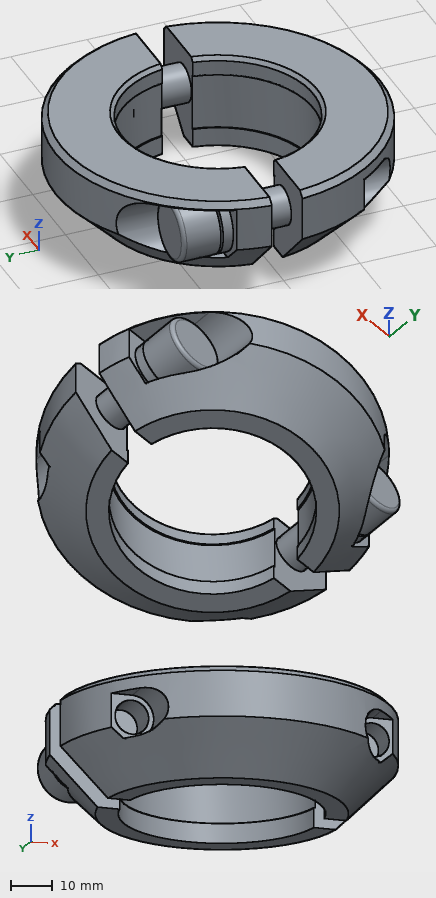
import cadquery as cq

COLLAR_RADIUS = 42.5
COLLAR_HEIGHT = 25.0
GAP = 8.0
TOP_CHAMFER = 1.5
CONE_HEIGHT = 12.0

BORE_RADIUS = 25.0
BORE_CHAMFER = 1.0
RELIEF_RADIUS = BORE_RADIUS + 0.3
RELIEF_MARGIN = 5.0

SCREW_X = 30.5
SCREW_Z = COLLAR_HEIGHT - 10.0
SHANK_RADIUS = 5.0
SHANK_LENGTH = 30.0
HEAD_RADIUS = 8.0
HEAD_HEIGHT = 10.0
HEAD_FILLET = 1.0
WASHER_THICKNESS = 2.6
LEFT_HEAD_CLEARANCE = 0.6

HEAD_POCKET_RADIUS = 8.25
HEAD_POCKET_FLOOR = 12.5
END_POCKET_RADIUS = 5.5
END_POCKET_FLOOR = 23.0
CORE_HOLE_RADIUS = 4.25

WASHER_TOP = HEAD_POCKET_FLOOR + WASHER_THICKNESS


def cylinder_along_y(x, radius, y_start, y_end):
    """Cylinder on a screw axis at the given X, between two Y positions."""
    start = cq.Vector(x, y_start, SCREW_Z)
    solid = cq.Solid.makeCylinder(radius, y_end - y_start, start, cq.Vector(0, 1, 0))
    return cq.Workplane(solid)


def collar_ring():
    """Whole ring, revolved from its radial section."""
    relief_bottom = RELIEF_MARGIN
    relief_top = COLLAR_HEIGHT - RELIEF_MARGIN
    section = [
        (BORE_RADIUS, 0),
        (COLLAR_RADIUS - CONE_HEIGHT, 0),
        (COLLAR_RADIUS, CONE_HEIGHT),
        (COLLAR_RADIUS, COLLAR_HEIGHT - TOP_CHAMFER),
        (COLLAR_RADIUS - TOP_CHAMFER, COLLAR_HEIGHT),
        (BORE_RADIUS + BORE_CHAMFER, COLLAR_HEIGHT),
        (BORE_RADIUS, COLLAR_HEIGHT - BORE_CHAMFER),
        (BORE_RADIUS, relief_top),
        (RELIEF_RADIUS, relief_top),
        (RELIEF_RADIUS, relief_bottom),
        (BORE_RADIUS, relief_bottom),
    ]
    return cq.Workplane("YZ").polyline(section).close().revolve(360, (0, 0), (0, 1))


def half_ring():
    """The part of the ring on the +Y side of the gap."""
    keep = cq.Workplane("XY").box(
        2 * COLLAR_RADIUS, COLLAR_RADIUS, COLLAR_HEIGHT, centered=(True, False, False)
    )
    return collar_ring().intersect(keep.translate((0, GAP / 2, 0)))


def rim_pocket(side, radius, y_start, y_end):
    """Round pocket on a screw axis, widened to a slot that runs out through the rim."""
    length = y_end - y_start
    slot = cq.Workplane("XY").box(COLLAR_RADIUS, length, 2 * radius)
    slot_x = side * (SCREW_X + COLLAR_RADIUS / 2)
    slot = slot.translate((slot_x, (y_start + y_end) / 2, SCREW_Z))
    return cylinder_along_y(side * SCREW_X, radius, y_start, y_end).union(slot)


def head_seat_y(side):
    """Y of the underside of the screw head."""
    return WASHER_TOP + (LEFT_HEAD_CLEARANCE if side < 0 else 0)


def make_head_half():
    """Half with the pockets for the screw heads and washers."""
    half = half_ring()
    for side in (-1, 1):
        half = half.cut(rim_pocket(side, HEAD_POCKET_RADIUS, HEAD_POCKET_FLOOR, COLLAR_RADIUS))
        half = half.cut(cylinder_along_y(side * SCREW_X, SHANK_RADIUS, 0, HEAD_POCKET_FLOOR))
    return half


def make_threaded_half():
    """Half that holds the screw ends; narrower core holes run on into the open pockets."""
    half = half_ring().rotate((0, 0, 0), (0, 0, 1), 180)
    for side in (-1, 1):
        x = side * SCREW_X
        half = half.cut(rim_pocket(side, END_POCKET_RADIUS, -COLLAR_RADIUS, -END_POCKET_FLOOR))
        half = half.cut(cylinder_along_y(x, CORE_HOLE_RADIUS, -END_POCKET_FLOOR, 0))
        half = half.cut(cylinder_along_y(x, SHANK_RADIUS, head_seat_y(side) - SHANK_LENGTH, 0))
    return half


def make_screw(side):
    """Cap screw with a rounded head edge."""
    x = side * SCREW_X
    seat = head_seat_y(side)
    head = cylinder_along_y(x, HEAD_RADIUS, seat, seat + HEAD_HEIGHT)
    head = head.faces(">Y").edges().fillet(HEAD_FILLET)
    return head.union(cylinder_along_y(x, SHANK_RADIUS, seat - SHANK_LENGTH, seat))


def make_washer(side):
    """Plain washer on the floor of a head pocket."""
    x = side * SCREW_X
    disc = cylinder_along_y(x, HEAD_RADIUS, HEAD_POCKET_FLOOR, WASHER_TOP)
    return disc.cut(cylinder_along_y(x, SHANK_RADIUS, HEAD_POCKET_FLOOR, WASHER_TOP))


head_half = make_head_half()
threaded_half = make_threaded_half()
bodies = [head_half, threaded_half]
for side in (-1, 1):
    bodies.append(make_screw(side))
    bodies.append(make_washer(side))

result = cq.Compound.makeCompound([body.solids().val() for body in bodies])